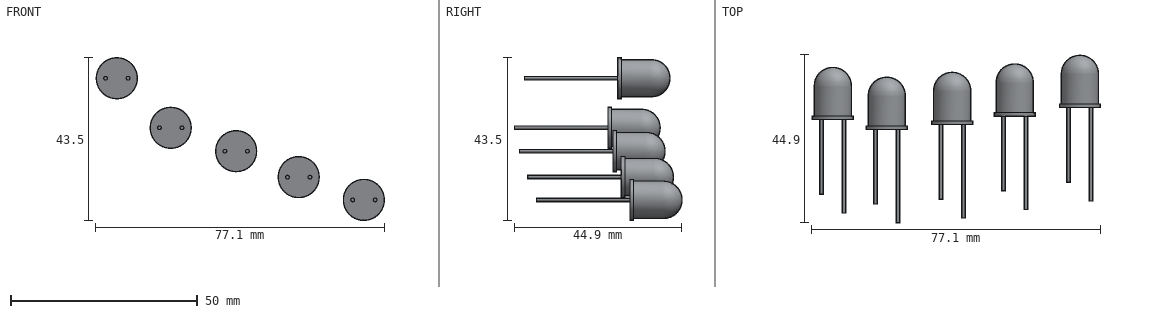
import cadquery as cq

dome_radius = 5.0
barrel_length = 8.0
flange_diameter = 11.0
flange_thickness = 1.0

lead_diameter = 1.0
lead_spacing = 6.0
short_lead_length = 20.0
long_lead_length = 25.0

lamp_positions = [
    (0, 0, 0),
    (14.4, -2.6, -13.3),
    (31.9, -1.3, -19.5),
    (48.7, 0.9, -26.45),
    (66.1, 3.25, -32.55),
]


def make_lens():
    """Flanged, domed lens, revolved about the Y axis with its base at Y = 0."""
    flange_radius = flange_diameter / 2
    dome_start = flange_thickness + barrel_length
    dome_diagonal = dome_radius * 0.5**0.5
    return (
        cq.Workplane("XY")
        .lineTo(flange_radius, 0)
        .lineTo(flange_radius, flange_thickness)
        .lineTo(dome_radius, flange_thickness)
        .lineTo(dome_radius, dome_start)
        .threePointArc(
            (dome_diagonal, dome_start + dome_diagonal),
            (0, dome_start + dome_radius),
        )
        .close()
        .revolve(360, (0, 0, 0), (0, 1, 0))
    )


def make_lead(x, length):
    """Round lead running from the base toward -Y."""
    return cq.Workplane("XZ").center(x, 0).circle(lead_diameter / 2).extrude(length)


def make_lamp(position):
    """One lamp: lens with a short left lead and a long right lead."""
    short_lead = make_lead(-lead_spacing / 2, short_lead_length)
    long_lead = make_lead(lead_spacing / 2, long_lead_length)
    return make_lens().union(short_lead).union(long_lead).translate(position)


lamps = [make_lamp(position) for position in lamp_positions]

result = cq.Compound.makeCompound([lamp.solids().val() for lamp in lamps])